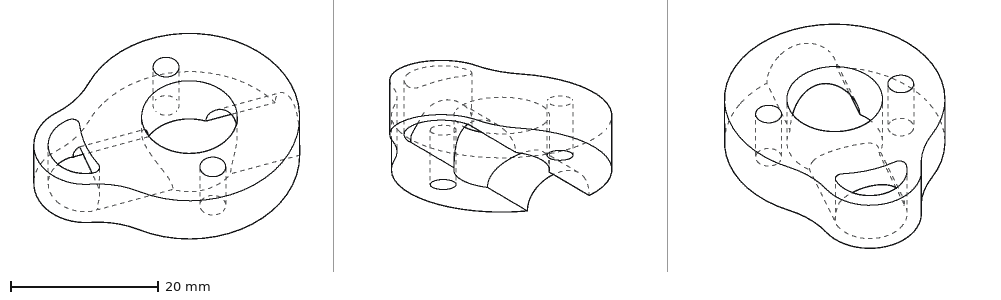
import cadquery as cq
import math

thickness = 8.0
body_radius = 15.0
bore_diameter = 13.0
pin_hole_diameter = 3.5
pin_hole_offset = 9.47

lug_radius = 7.03
lug_center_y = -body_radius
neck_radius = 12.0

slot_radius = 5.07
slot_corner_radius = 1.0

channel_radius = 5.0


def neck_center():
    """Centre of the right-hand concave arc touching both the body and the lug."""
    to_body = body_radius + neck_radius
    to_lug = lug_radius + neck_radius
    spacing = abs(lug_center_y)
    drop = (to_body**2 - to_lug**2 + spacing**2) / (2 * spacing)
    return math.sqrt(to_body**2 - drop**2), -drop


def make_blank():
    """Round body and lug joined by two tangent concave necks."""
    neck_x, neck_y = neck_center()

    body_share = body_radius / (body_radius + neck_radius)
    body_x = neck_x * body_share
    body_y = neck_y * body_share

    lug_share = lug_radius / (lug_radius + neck_radius)
    lug_x = neck_x * lug_share
    lug_y = lug_center_y + (neck_y - lug_center_y) * lug_share

    chord_x = (body_x + lug_x) / 2 - neck_x
    chord_y = (body_y + lug_y) / 2 - neck_y
    reach = neck_radius / math.hypot(chord_x, chord_y)
    mid_x = neck_x + chord_x * reach
    mid_y = neck_y + chord_y * reach

    return (
        cq.Workplane("XY")
        .moveTo(body_x, body_y)
        .threePointArc((0, body_radius), (-body_x, body_y))
        .threePointArc((-mid_x, mid_y), (-lug_x, lug_y))
        .threePointArc((0, lug_center_y - lug_radius), (lug_x, lug_y))
        .threePointArc((mid_x, mid_y), (body_x, body_y))
        .close()
        .extrude(thickness)
    )


def make_slot():
    """Crescent slot: a circle in the lug, less the round body, with rounded tips."""
    body_disc = cq.Workplane("XY").circle(body_radius).extrude(thickness)
    return (
        cq.Workplane("XY")
        .center(0, lug_center_y)
        .circle(slot_radius)
        .extrude(thickness)
        .cut(body_disc)
        .edges("|Z and (<X or >X)")
        .fillet(slot_corner_radius)
    )


def make_channel():
    """Half-round channel along the underside, from the +Y rim into the slot."""
    return (
        cq.Workplane("XZ", origin=(0, body_radius, 0))
        .circle(channel_radius)
        .extrude(body_radius - lug_center_y)
    )


bore = cq.Workplane("XY").circle(bore_diameter / 2).extrude(thickness)
pin_holes = (
    cq.Workplane("XY")
    .pushPoints([(-pin_hole_offset, 0), (pin_hole_offset, 0)])
    .circle(pin_hole_diameter / 2)
    .extrude(thickness)
)

result = make_blank().cut(bore).cut(pin_holes).cut(make_slot()).cut(make_channel())